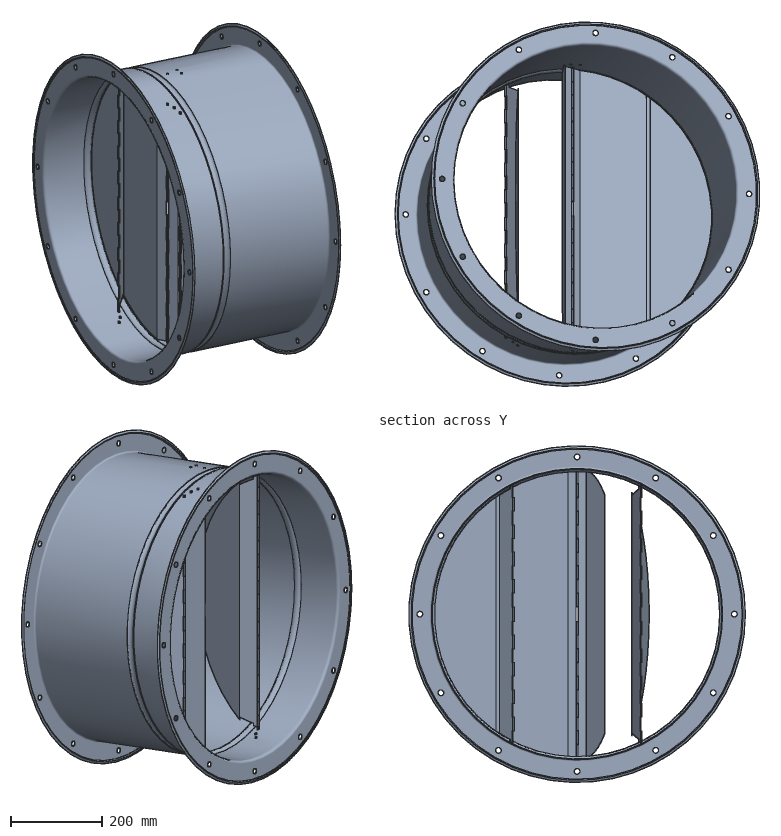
import cadquery as cq
import math


sheet = 2.0
tube_inner_radius = 635 / 2
tube_outer_radius = tube_inner_radius + sheet
overall_length = 370.0
overall_radius = 739 / 2

rim_width = 7.5
rim_thickness = 5.0
flange_recess = 1.0
rim_crown_inset = 5.0
root_radius = 4.0

bolt_circle_radius = 345.0
bolt_hole_diameter = 12.0
bolt_count = 12

bead_centre_y = -74.0
bead_half_width = 8.0
bead_depth = 5.0

outer_pivot = (140.0, -93.0)
inner_pivot = (0.0, -48.0)
pivot_hole_diameter = 5.25
rivet_diameter = 5.0
outer_rivets = [(122.8, -99.0), (110.0, -108.5)]
inner_rivet = (10.5, -18.6)

blade_sheet = 1.0
open_angle = 75.0
blade_radius = tube_inner_radius - 1.5
outer_bend_x = 170.0
inner_bend_x = 20.0
inner_tip_x = 178.0
outer_front_y = -65.0
outer_plate_y = outer_front_y + blade_sheet / 2
inner_plate_y = outer_plate_y + blade_sheet

bead_clearance = 1.0
bead_band_width = 21.0
knuckle_radius = 5 / 2
bore_radius = knuckle_radius - blade_sheet
knuckle_pitch = 30.0
centre_knuckle_half = 16.0
knuckle_gap = 0.5
knuckle_clearance = 0.5


def flange():
    """Flange at the +Y end with its bend into the tube and its beaded rim."""
    rim_outside_y = overall_length / 2
    outside_y = rim_outside_y - flange_recess
    inside_y = outside_y - sheet
    root_start_y = inside_y - root_radius
    root_centre_radius = tube_outer_radius + root_radius
    outer_bend_radius = root_radius + sheet
    diagonal = math.sqrt(0.5)
    rim_start = overall_radius - rim_width
    rim_crown = overall_radius - rim_crown_inset
    profile = (
        cq.Workplane("XY")
        .moveTo(tube_inner_radius, root_start_y)
        .lineTo(tube_outer_radius, root_start_y)
        .threePointArc(
            (root_centre_radius - root_radius * diagonal, root_start_y + root_radius * diagonal),
            (root_centre_radius, inside_y),
        )
        .lineTo(rim_start, inside_y)
        .lineTo(rim_crown, rim_outside_y - rim_thickness)
        .lineTo(overall_radius, rim_outside_y - rim_thickness / 2)
        .lineTo(rim_crown, rim_outside_y)
        .lineTo(rim_start, outside_y)
        .lineTo(root_centre_radius, outside_y)
        .threePointArc(
            (
                root_centre_radius - outer_bend_radius * diagonal,
                root_start_y + outer_bend_radius * diagonal,
            ),
            (tube_inner_radius, root_start_y),
        )
        .close()
    )
    ring = profile.revolve(360, (0, 0, 0), (0, 1, 0))
    bolt_holes = (
        cq.Workplane("XZ")
        .polarArray(bolt_circle_radius, 0, 360, bolt_count)
        .circle(bolt_hole_diameter / 2)
        .extrude(overall_length, both=True)
    )
    return ring.cut(bolt_holes)


def tube():
    """Tube wall with the bead rolled inward all round."""
    end_y = overall_length / 2 - flange_recess - sheet - root_radius
    bead_radius = (bead_half_width**2 + bead_depth**2) / (2 * bead_depth)
    bead_bottom = tube_outer_radius - bead_depth
    bead_arc_centre = bead_bottom + bead_radius
    inner_half_width = math.sqrt(
        (bead_radius + sheet) ** 2 - (bead_arc_centre - tube_inner_radius) ** 2
    )
    profile = (
        cq.Workplane("XY")
        .moveTo(tube_outer_radius, -end_y)
        .lineTo(tube_outer_radius, bead_centre_y - bead_half_width)
        .threePointArc(
            (bead_bottom, bead_centre_y),
            (tube_outer_radius, bead_centre_y + bead_half_width),
        )
        .lineTo(tube_outer_radius, end_y)
        .lineTo(tube_inner_radius, end_y)
        .lineTo(tube_inner_radius, bead_centre_y + inner_half_width)
        .threePointArc(
            (bead_bottom - sheet, bead_centre_y),
            (tube_inner_radius, bead_centre_y - inner_half_width),
        )
        .lineTo(tube_inner_radius, -end_y)
        .close()
    )
    return profile.revolve(360, (0, 0, 0), (0, 1, 0))


def vertical_holes(points, diameter):
    """Holes along Z through the top and bottom of the tube."""
    return (
        cq.Workplane("XY")
        .pushPoints(points)
        .circle(diameter / 2)
        .extrude(overall_radius, both=True)
    )


def both_sides(points):
    return points + [(-x, y) for x, y in points]


def make_housing():
    back_flange = flange()
    front_flange = back_flange.mirror("XZ")
    pivots = both_sides([outer_pivot]) + [inner_pivot]
    rivets = both_sides(outer_rivets + [inner_rivet])
    return (
        tube()
        .union(back_flange)
        .union(front_flange)
        .cut(vertical_holes(pivots, pivot_hole_diameter))
        .cut(vertical_holes(rivets, rivet_diameter))
    )


def blade_envelope():
    """Round space inside the tube, narrowed at the bead, that a closed blade must stay in."""
    space = cq.Workplane("XZ").circle(blade_radius).extrude(overall_length / 2, both=True)
    narrow_radius = tube_outer_radius - bead_depth - sheet - bead_clearance
    bead_band = (
        cq.Workplane("XZ", origin=(0, outer_front_y, 0))
        .circle(tube_outer_radius)
        .circle(narrow_radius)
        .extrude(bead_band_width)
    )
    return space.cut(bead_band)


def leaf_direction(pivot, bend):
    length = math.dist(pivot, bend)
    return (bend[0] - pivot[0]) / length, (bend[1] - pivot[1]) / length


def bent_sheet(pivot, bend, tip_x, leaf_start):
    """Slanted leaf from beside the pivot to the bend, then a flat plate to tip_x."""
    dx, dy = leaf_direction(pivot, bend)
    half = blade_sheet / 2
    normal_x, normal_y = -dy * half, dx * half
    start_x = pivot[0] + dx * leaf_start
    start_y = pivot[1] + dy * leaf_start
    miter_x = -half * dy / (1 + dx)
    return (
        cq.Workplane("XY")
        .polyline(
            [
                (start_x - normal_x, start_y - normal_y),
                (bend[0] - miter_x, bend[1] - half),
                (tip_x, bend[1] - half),
                (tip_x, bend[1] + half),
                (bend[0] + miter_x, bend[1] + half),
                (start_x + normal_x, start_y + normal_y),
            ]
        )
        .close()
        .extrude(tube_inner_radius, both=True)
    )


def knuckle_spans():
    """Lower and upper Z of the hinge knuckles, from the middle outward, as (index, low, high)."""
    spans = [(0, -centre_knuckle_half, centre_knuckle_half)]
    count = math.ceil((tube_inner_radius - centre_knuckle_half) / knuckle_pitch)
    for index in range(1, count + 1):
        high = centre_knuckle_half + index * knuckle_pitch
        low = high - knuckle_pitch
        spans.append((index, low, high))
        spans.append((index, -high, -low))
    return spans


def knuckle_ring(pivot, low, high):
    return (
        cq.Workplane("XY", origin=(pivot[0], pivot[1], low))
        .circle(knuckle_radius)
        .circle(bore_radius)
        .extrude(high - low)
    )


def make_outer_blade():
    """Right outer blade, closed. Its knuckles curl in turn behind and in front of the pin."""
    bend = (outer_bend_x, outer_plate_y)
    blade = bent_sheet(outer_pivot, bend, tube_inner_radius, bore_radius)
    dx, dy = leaf_direction(outer_pivot, bend)
    leaf_angle = math.degrees(math.atan2(dy, dx))
    for index, low, high in knuckle_spans():
        behind = index % 2 == 0
        half_space = (
            cq.Workplane("XY", origin=(0, 0, low))
            .rect(2 * knuckle_radius, knuckle_radius)
            .extrude(high - low)
            .translate((0, knuckle_radius / 2 if behind else -knuckle_radius / 2, 0))
            .rotate((0, 0, 0), (0, 0, 1), leaf_angle)
            .translate((outer_pivot[0], outer_pivot[1], 0))
        )
        blade = blade.union(knuckle_ring(outer_pivot, low, high).intersect(half_space))
    return blade.intersect(blade_envelope())


def make_inner_blade(parity):
    """Right inner blade, closed. It owns every second knuckle on the shared middle pin."""
    bend = (inner_bend_x, inner_plate_y)
    blade = bent_sheet(inner_pivot, bend, inner_tip_x, knuckle_radius + knuckle_clearance)
    full_leaf = bent_sheet(inner_pivot, bend, inner_tip_x, bore_radius + blade_sheet / 2)
    for index, low, high in knuckle_spans():
        if index == 0 or index % 2 != parity:
            continue
        span_low = low + knuckle_gap / 2
        span_high = high - knuckle_gap / 2
        link_slab = (
            cq.Workplane("XY", origin=(0, 0, span_low))
            .rect(overall_length, overall_length)
            .extrude(span_high - span_low)
        )
        blade = blade.union(full_leaf.intersect(link_slab))
        blade = blade.union(knuckle_ring(inner_pivot, span_low, span_high))
    return blade.intersect(blade_envelope())


def swing_open(blade, pivot):
    return blade.rotate((pivot[0], pivot[1], 0), (pivot[0], pivot[1], 1), open_angle)


housing = make_housing()

outer_blade = make_outer_blade()
left_outer_blade = outer_blade.mirror("YZ")
right_outer_blade = swing_open(outer_blade, outer_pivot)

left_inner_blade = make_inner_blade(parity=1).mirror("YZ")
right_inner_blade = swing_open(make_inner_blade(parity=0), inner_pivot)

result = cq.Compound.makeCompound(
    [
        housing.val(),
        left_outer_blade.val(),
        right_outer_blade.val(),
        left_inner_blade.val(),
        right_inner_blade.val(),
    ]
)